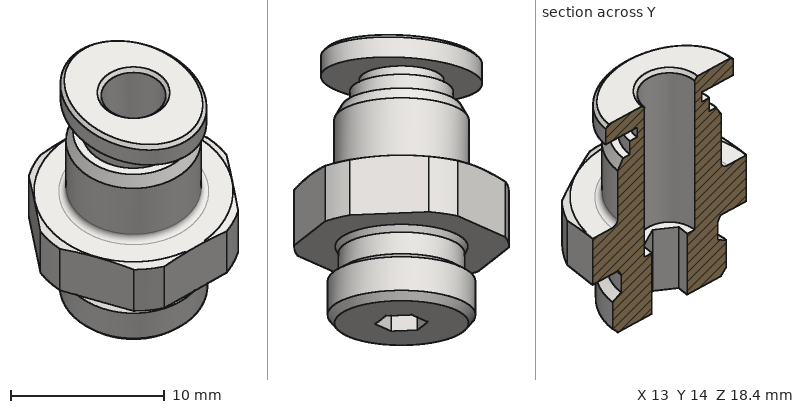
import cadquery as cq
import math

FLANGE_CHAMFER_TOP = 0.55
FLANGE_TOP = 2.87
GROOVE_BOTTOM = 3.33
GROOVE_TOP = 4.82
NUT_BOTTOM = 5.28
NUT_TOP = 9.3
BODY_CONE_BOTTOM = 13.98
BODY_TOP = 14.81
COLLAR_TOP = 15.97
BUTTON_BOTTOM = 16.76
BUTTON_TOP = 18.4

FOOT_RADIUS = 4.36
FLANGE_RADIUS = 4.82
GROOVE_RADIUS = 4.1
UNDERCUT_RADIUS = 4.32
BODY_RADIUS = 4.4
BODY_TOP_RADIUS = 3.94
COLLAR_RADIUS = 3.37
STEM_RADIUS = 2.76
BODY_FILLET = 0.48

NUT_ACROSS_FLATS = 13.0
NUT_CORNER_DIAMETER = 14.0
NUT_FACE_RADIUS = 6.48
NUT_CHAMFER_DROP = 0.18

BUTTON_LENGTH = 10.8
BUTTON_WIDTH = 8.61
BUTTON_CHAMFER = 0.25

BORE_RADIUS = 2.1
BORE_CHAMFER = 0.25
BORE_FLOOR = NUT_BOTTOM
SOCKET_ACROSS_FLATS = 2.98


def hexagon_prism(across_flats, bottom, top):
    """Vertical hexagonal prism with two of its flats facing +X and -X."""
    corner_radius = across_flats / 2 / math.cos(math.radians(30))
    corner_angles = [math.radians(30 + 60 * i) for i in range(6)]
    corners = [(corner_radius * math.cos(a), corner_radius * math.sin(a)) for a in corner_angles]
    base = cq.Workplane("XY", origin=(0, 0, bottom)).polyline(corners).close()
    return base.extrude(top - bottom)


def make_body():
    """Turned core: foot flange, groove, body with a fillet onto the nut, collar and stem."""
    profile = (
        cq.Workplane("XZ")
        .lineTo(FOOT_RADIUS, 0)
        .lineTo(FLANGE_RADIUS, FLANGE_CHAMFER_TOP)
        .lineTo(FLANGE_RADIUS, FLANGE_TOP)
        .lineTo(GROOVE_RADIUS, GROOVE_BOTTOM)
        .lineTo(GROOVE_RADIUS, GROOVE_TOP)
        .lineTo(UNDERCUT_RADIUS, NUT_BOTTOM)
        .lineTo(BODY_RADIUS + BODY_FILLET, NUT_BOTTOM)
        .lineTo(BODY_RADIUS + BODY_FILLET, NUT_TOP)
        .radiusArc((BODY_RADIUS, NUT_TOP + BODY_FILLET), BODY_FILLET)
        .lineTo(BODY_RADIUS, BODY_CONE_BOTTOM)
        .lineTo(BODY_TOP_RADIUS, BODY_TOP)
        .lineTo(COLLAR_RADIUS, BODY_TOP)
        .lineTo(COLLAR_RADIUS, COLLAR_TOP)
        .lineTo(STEM_RADIUS, COLLAR_TOP)
        .lineTo(STEM_RADIUS, BUTTON_BOTTOM)
        .lineTo(0, BUTTON_BOTTOM)
        .close()
    )
    return profile.revolve(360, (0, 0, 0), (0, 1, 0))


def make_nut():
    """Hexagon trimmed by a turned envelope that rounds its corners and chamfers its top."""
    corner_radius = NUT_CORNER_DIAMETER / 2
    envelope = (
        cq.Workplane("XZ")
        .moveTo(0, NUT_BOTTOM)
        .lineTo(corner_radius, NUT_BOTTOM)
        .lineTo(corner_radius, NUT_TOP - NUT_CHAMFER_DROP)
        .lineTo(NUT_FACE_RADIUS, NUT_TOP)
        .lineTo(0, NUT_TOP)
        .close()
        .revolve(360, (0, 0, 0), (0, 1, 0))
    )
    return hexagon_prism(NUT_ACROSS_FLATS, NUT_BOTTOM, NUT_TOP).intersect(envelope)


def make_button():
    """Elliptical plate, longer along X, with a chamfered top rim."""
    return (
        cq.Workplane("XY", origin=(0, 0, BUTTON_BOTTOM))
        .ellipse(BUTTON_LENGTH / 2, BUTTON_WIDTH / 2)
        .extrude(BUTTON_TOP - BUTTON_BOTTOM)
        .faces(">Z")
        .chamfer(BUTTON_CHAMFER)
    )


def make_bore():
    """Round bore, flared at the top, that steps down to a hexagonal through socket."""
    mouth_radius = BORE_RADIUS + BORE_CHAMFER
    bore = (
        cq.Workplane("XZ")
        .moveTo(0, BORE_FLOOR)
        .lineTo(BORE_RADIUS, BORE_FLOOR)
        .lineTo(BORE_RADIUS, BUTTON_TOP - BORE_CHAMFER)
        .lineTo(mouth_radius, BUTTON_TOP)
        .lineTo(0, BUTTON_TOP)
        .close()
        .revolve(360, (0, 0, 0), (0, 1, 0))
    )
    return bore.union(hexagon_prism(SOCKET_ACROSS_FLATS, 0, BORE_FLOOR))


result = make_body().union(make_nut()).union(make_button()).cut(make_bore())